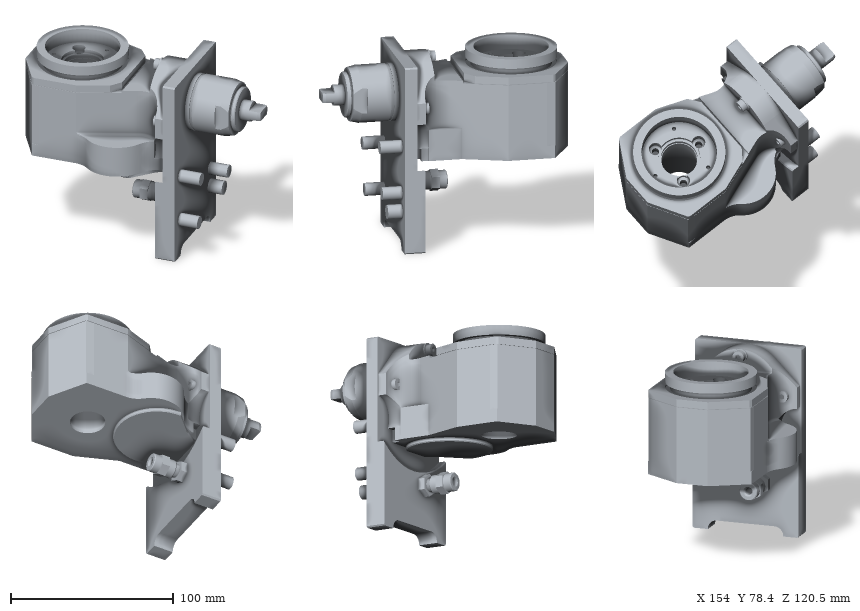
import cadquery as cq
import math


plate_half_width = 35.0
plate_top = 25.0
plate_bottom = -95.0
plate_front = -8.0
thick_plate_front = -13.1
plate_corner = 0.9
seat_radius = 55.0
seat_chamfer = 0.7
notch_half_width = 24.8
notch_depth = 6.0
notch_fillet = 5.8

overall_length = 154.0
head_left = -108.6
head_half_width = 34.0
nose_half_width = 10.3
nose_corner_x = -95.1
taper_start_x = -65.7
head_bottom = -39.1
head_top = 9.6
neck_start_x = -39.1
neck_top = 11.3
neck_step_fillet = 1.0

waist_radius = 12.3
waist_center_x = -25.8
flange_side_x = waist_center_x + waist_radius
waist_center_y = 32.3
flange_front = -21.9
flange_radius = 25.0
flange_side_bottom = -12.2
scoop_radius = 12.8
scoop_center_y = 34.5
scoop_center_z = flange_side_bottom - scoop_radius
foot_top = -31.0
scoop_front = -17.7

facet_depth = 0.5
facet_bottom = foot_top
facet_right = -90.0

bulge_top = -19.2
bulge_radius = 20.5
bulge_center_x = -42.9
bulge_min_y = -43.36
bulge_start_x = -66.8
bulge_blend_x = -24.7
bulge_end = (thick_plate_front, -23.4)
bulge_fillet = 1.7
base_half_width = 23.9
foot_half_width = 23.2
foot_tail_half_width = 18.0

disc_center = (-31.6, -10.5)
disc_radius = 27.0
disc_bottom = -41.5
disc_chamfer = 0.6
disc_trim_start = (-30.0, -37.0)
disc_trim_corner = (-17.0, -23.2)
disc_trim_end = (-8.7, -17.5)

hole_count = 3
cover_top = 14.7
cover_right = -40.9
cover_end_half_width = 19.5
cover_corner_x = -46.1
cover_edge_chamfer = 1.0
seam_size = 0.4
spindle_x = -74.8
ring_radius = 28.5
ring_bottom = 18.3
ring_top = 24.4
ring_neck_radius = 25.2
ring_groove_radius = 28.3
ring_groove_depth = 1.0
recess_radius = 23.3
recess_floor = 15.4
bore_steps = [(13.0, 2.2), (11.4, 5.0)]
bore_radius = 10.95
screw_circle_radius = 15.6
screw_hole_radius = 2.3
screw_hole_depth = 10.0
screw_sink_radius = 4.1
screw_sink_depth = 4.5
pin_circle_radius = 19.1
pin_hole_radius = 1.3
pin_hole_depth = 3.0

shank_radius = 18.0
groove_start = 2.8
groove_end = 4.6
groove_depth = 0.5
cone_start = 23.0
shank_end = 28.25
cone_end_radius = 16.75
collar_start = 28.8
collar_end = 31.5
collar_radius = 14.2
collar_chamfer = 0.5
collar_neck_radius = 13.3
stub_radius = 6.5
tang_start = 38.0
tang_end = head_left + overall_length
tang_half_thickness = 3.0
tang_chamfer_length = 1.9
tang_chamfer_height = 0.6
flat_start = 19.7
flat_half_width = 16.1

pin_side_y = 25.0
pin_radius = 4.05
upper_pin_length = 13.9
lower_pin_length = 12.5
thick_pin_radius = 4.45
thick_pin_length = 9.3
rear_pins = [
    (pin_side_y, -28.0, pin_radius, upper_pin_length),
    (-pin_side_y, -39.8, pin_radius, upper_pin_length),
    (pin_side_y, -57.8, pin_radius, lower_pin_length),
    (-pin_side_y, -69.8, pin_radius, lower_pin_length),
    (pin_side_y, -69.8, thick_pin_radius, thick_pin_length),
]

top_screw_z = 21.0
top_screw_front = -26.5
washer_radius = 4.5
washer_thickness = 1.0
screw_head_radius = 3.65
side_screw_y = 25.2
side_screw_z = -4.5
side_screw_front = -16.9
socket_size = 3.5
socket_depth = 1.8

fitting_y = -10.1
fitting_z = -61.8
fitting_front = -35.9
nut_front = -30.7
nut_back = -25.5
sleeve_back = -20.4
base_nut_front = -17.4
sleeve_radius = 5.8
sleeve_chamfer = 0.5
fitting_neck_radius = 4.2
nut_corner_diameter = 14.1
fitting_bore_radius = 2.2
fitting_mouth_radius = 3.1
fitting_bore_depth = 10.0
fitting_mouth_chamfer = fitting_mouth_radius - fitting_bore_radius


def box(x0, x1, y0, y1, z0, z1):
    return cq.Workplane("XY").box(x1 - x0, y1 - y0, z1 - z0, centered=False).translate((x0, y0, z0))


def x_cylinder(x0, x1, y, z, radius):
    return cq.Workplane("YZ", origin=(x0, y, z)).circle(radius).extrude(x1 - x0)


def z_cylinder(z0, z1, x, y, radius):
    return cq.Workplane("XY", origin=(x, y, z0)).circle(radius).extrude(z1 - z0)


def hex_prism(x0, x1, y, z, corner_diameter):
    """Hexagonal prism along X with a corner pointing up."""
    turn = cq.Workplane("YZ", origin=(x0, y, z)).transformed(rotate=(0, 0, 90))
    return turn.polygon(6, corner_diameter).extrude(x1 - x0)


def waist_tangent():
    """Point where the tapering side runs into the waist round, on the +Y side."""
    dx = waist_center_x - taper_start_x
    dy = waist_center_y - head_half_width
    distance = math.hypot(dx, dy)
    heading = math.atan2(dy, dx) - math.asin(waist_radius / distance)
    length = math.sqrt(distance**2 - waist_radius**2)
    x = taper_start_x + length * math.cos(heading)
    y = head_half_width + length * math.sin(heading)
    return x, y


def taper_y(x):
    """Half width of the housing along its tapering side."""
    tangent_x, tangent_y = waist_tangent()
    slope = (tangent_y - head_half_width) / (tangent_x - taper_start_x)
    return head_half_width + slope * (x - taper_start_x)


def make_plate():
    """Plate with a thicker lower part, relieved by a round seat about the shank axis."""
    plate = box(thick_plate_front, 0, -plate_half_width, plate_half_width, plate_bottom, plate_top)
    plate = plate.edges("|X").chamfer(plate_corner)
    seat = x_cylinder(thick_plate_front, plate_front, 0, 0, seat_radius - seat_chamfer)
    flare = cq.Workplane(
        cq.Solid.makeCone(
            seat_radius, seat_radius - seat_chamfer, seat_chamfer,
            pnt=cq.Vector(thick_plate_front, 0, 0), dir=cq.Vector(1, 0, 0),
        )
    )
    above_axis = box(thick_plate_front, plate_front, -plate_half_width, plate_half_width, 0, plate_top)
    notch = box(
        thick_plate_front, 0, -notch_half_width, notch_half_width,
        plate_bottom - notch_depth, plate_bottom + notch_depth,
    )
    notch = notch.edges("|X and >Z").fillet(notch_fillet)
    return plate.cut(seat).cut(flare).cut(above_axis).cut(notch)


def neck_outline():
    """Plan outline of head, neck and flange, symmetric about the X axis."""
    tangent_x, tangent_y = waist_tangent()
    waist_y = waist_center_y - waist_radius
    return (
        cq.Workplane("XY", origin=(0, 0, head_bottom))
        .moveTo(head_left, -nose_half_width)
        .lineTo(head_left, nose_half_width)
        .lineTo(nose_corner_x, head_half_width)
        .lineTo(taper_start_x, head_half_width)
        .lineTo(tangent_x, tangent_y)
        .threePointArc((waist_center_x, waist_y), (flange_side_x, waist_center_y))
        .lineTo(flange_side_x, head_half_width)
        .lineTo(plate_front, head_half_width)
        .lineTo(plate_front, -head_half_width)
        .lineTo(flange_side_x, -head_half_width)
        .lineTo(flange_side_x, -waist_center_y)
        .threePointArc((waist_center_x, -waist_y), (tangent_x, -tangent_y))
        .lineTo(taper_start_x, -head_half_width)
        .lineTo(nose_corner_x, -head_half_width)
        .close()
    )


def make_envelope():
    """Heights of head, neck and flange: the round flange top falls away at 45 degrees."""
    width = head_half_width
    head = box(head_left, neck_start_x, -width, width, head_bottom, head_top)
    neck = box(neck_start_x, flange_front, -width, width, head_bottom, neck_top)
    shoulder = flange_radius * math.cos(math.pi / 4)
    side_top = 2 * shoulder - width
    flange = (
        cq.Workplane("YZ", origin=(flange_front, 0, 0))
        .moveTo(-width, head_bottom)
        .lineTo(-width, side_top)
        .lineTo(-shoulder, shoulder)
        .threePointArc((0, flange_radius), (shoulder, shoulder))
        .lineTo(width, side_top)
        .lineTo(width, head_bottom)
        .close()
        .extrude(plate_front - flange_front)
    )
    return head.union(neck).union(flange)


def make_scoop(side):
    """Round clearance under one side of the flange, open down to the foot."""
    scoop = x_cylinder(scoop_front, plate_front, side * scoop_center_y, scoop_center_z, scoop_radius)
    outer_y = scoop_center_y + scoop_radius
    return scoop.intersect(
        box(scoop_front, plate_front, -outer_y, outer_y, foot_top, flange_side_bottom)
    )


def make_foot_cut(side):
    """Space beside the foot, which narrows where it passes over the plate edge."""
    cut = None
    for front, inner_y in ((scoop_front, foot_half_width), (thick_plate_front, foot_tail_half_width)):
        y0, y1 = sorted((side * inner_y, side * head_half_width))
        step = box(front, plate_front, y0, y1, head_bottom, foot_top)
        cut = step if cut is None else cut.union(step)
    return cut


def make_bulge():
    """Rounded bulge on the -Y side, blended into the head side and the neck."""
    center_y = bulge_min_y + bulge_radius
    run = bulge_center_x - bulge_start_x
    drop = center_y + head_half_width
    blend_radius = (run**2 + drop**2 - bulge_radius**2) / (2 * (bulge_radius - drop))
    share = blend_radius / (blend_radius + bulge_radius)
    blend_center_y = -head_half_width - blend_radius
    first_x = bulge_start_x + run * share
    first_y = blend_center_y + (center_y - blend_center_y) * share
    last_y = center_y - math.sqrt(bulge_radius**2 - (bulge_blend_x - bulge_center_x) ** 2)
    outline = (
        cq.Workplane("XY", origin=(0, 0, head_bottom))
        .moveTo(bulge_start_x, 0)
        .lineTo(bulge_start_x, -head_half_width)
        .radiusArc((first_x, first_y), blend_radius)
        .threePointArc((bulge_center_x, bulge_min_y), (bulge_blend_x, last_y))
        .tangentArcPoint(bulge_end, relative=False)
        .lineTo(bulge_end[0], 0)
        .close()
    )
    return outline.extrude(bulge_top - head_bottom)


def make_far_block():
    """Straight block along the lower half of the neck on the +Y side."""
    return box(taper_start_x, scoop_front, 0, base_half_width, head_bottom, bulge_top)


def make_corner_facet(side):
    """Wedge that bevels the side face behind one nose corner."""
    slope = (nose_corner_x - head_left) / (head_half_width - nose_half_width)
    inner_y = head_half_width - facet_depth
    inner_x = nose_corner_x - facet_depth * slope
    wedge = cq.Workplane("XY", origin=(0, 0, facet_bottom)).polyline(
        [
            (facet_right, side * head_half_width),
            (inner_x, side * inner_y),
            (inner_x, side * head_half_width),
        ]
    )
    return wedge.close().extrude(head_top - facet_bottom)


def fillet_wall_foot(housing):
    """Round the inner corner where the tapering neck wall meets the top of the bulge."""
    tangent_x, _ = waist_tangent()
    middle_x = (taper_start_x + tangent_x) / 2
    foot = cq.selectors.NearestToPointSelector((middle_x, -taper_y(middle_x), bulge_top))
    return housing.edges(foot).fillet(bulge_fillet)


def make_disc():
    """Flat disc under the housing, trimmed to stay inside its bottom face."""
    disc = z_cylinder(disc_bottom, head_bottom, disc_center[0], disc_center[1], disc_radius)
    disc = disc.faces("<Z").edges().chamfer(disc_chamfer)
    far_right = disc_center[0] + disc_radius
    far_front = disc_center[1] - disc_radius
    far_back = disc_center[1] + disc_radius
    outside = (
        cq.Workplane("XY", origin=(0, 0, disc_bottom))
        .polyline(
            [
                (disc_trim_start[0], far_front),
                disc_trim_start,
                disc_trim_corner,
                disc_trim_end,
                (disc_trim_end[0], far_back),
                (far_right, far_back),
                (far_right, far_front),
            ]
        )
        .close()
        .extrude(head_bottom - disc_bottom)
    )
    return disc.cut(outside)


def make_housing():
    housing = neck_outline().extrude(flange_radius - head_bottom).intersect(make_envelope())
    for height, x in ((neck_top, flange_front), (head_top, neck_start_x)):
        corner = cq.selectors.NearestToPointSelector((x, 0, height))
        housing = housing.edges(corner).fillet(neck_step_fillet)
    for side in (1, -1):
        housing = housing.cut(make_foot_cut(side)).cut(make_corner_facet(side))
    housing = housing.union(make_bulge()).union(make_far_block())
    housing = fillet_wall_foot(housing)
    for side in (1, -1):
        housing = housing.cut(make_scoop(side))
    return housing.union(make_disc())


def cover_outline():
    corner_y = taper_y(cover_corner_x)
    upper = [
        (head_left, nose_half_width),
        (nose_corner_x, head_half_width),
        (taper_start_x, head_half_width),
        (cover_corner_x, corner_y),
        (cover_right, cover_end_half_width),
    ]
    lower = [(x, -y) for x, y in reversed(upper)]
    return cq.Workplane("XY", origin=(0, 0, head_top)).polyline(upper + lower).close()


def make_cover():
    cover = cover_outline().extrude(cover_top - head_top)
    for y in (head_half_width, -head_half_width):
        edge = cq.selectors.NearestToPointSelector((nose_corner_x, y, (head_top + cover_top) / 2))
        cover = cover.edges("|Z").edges(edge).chamfer(cover_edge_chamfer)
    inside = cover_outline().offset2D(-seam_size).extrude(seam_size)
    seam = cover_outline().extrude(seam_size).cut(inside)
    return cover.cut(seam)


def polar_points(radius, first_angle):
    angles = [math.radians(first_angle + 360 * i / hole_count) for i in range(hole_count)]
    return [(spindle_x + radius * math.cos(a), radius * math.sin(a)) for a in angles]


def add_spindle(body):
    groove_floor = cover_top - ring_groove_depth
    body = body.cut(z_cylinder(groove_floor, cover_top, spindle_x, 0, ring_groove_radius))
    body = body.union(z_cylinder(groove_floor, ring_bottom, spindle_x, 0, ring_neck_radius))
    body = body.union(z_cylinder(ring_bottom, ring_top, spindle_x, 0, ring_radius))
    body = body.cut(z_cylinder(recess_floor, ring_top, spindle_x, 0, recess_radius))
    for radius, depth in bore_steps:
        body = body.cut(z_cylinder(recess_floor - depth, ring_top, spindle_x, 0, radius))
    body = body.cut(z_cylinder(disc_bottom, ring_top, spindle_x, 0, bore_radius))
    for x, y in polar_points(screw_circle_radius, 0):
        body = body.cut(z_cylinder(recess_floor - screw_sink_depth, recess_floor, x, y, screw_sink_radius))
        body = body.cut(z_cylinder(recess_floor - screw_hole_depth, recess_floor, x, y, screw_hole_radius))
    for x, y in polar_points(pin_circle_radius, 180 / hole_count):
        body = body.cut(z_cylinder(recess_floor - pin_hole_depth, recess_floor, x, y, pin_hole_radius))
    return body


def make_shank():
    """Turned shank with clamping flats, a collar and a driving tang."""
    groove_radius = shank_radius - groove_depth
    profile = [
        (plate_front, 0),
        (plate_front, shank_radius),
        (groove_start, shank_radius),
        (groove_start, groove_radius),
        (groove_end, groove_radius),
        (groove_end, shank_radius),
        (cone_start, shank_radius),
        (shank_end, cone_end_radius),
        (shank_end, collar_neck_radius),
        (collar_start, collar_neck_radius),
        (collar_start, collar_radius - collar_chamfer),
        (collar_start + collar_chamfer, collar_radius),
        (collar_end - collar_chamfer, collar_radius),
        (collar_end, collar_radius - collar_chamfer),
        (collar_end, stub_radius),
        (tang_end - tang_chamfer_length, stub_radius),
        (tang_end, stub_radius - tang_chamfer_height),
        (tang_end, 0),
    ]
    shank = cq.Workplane("XZ").polyline(profile).close().revolve(360, (0, 0, 0), (1, 0, 0))
    for side in (1, -1):
        y0, y1 = sorted((side * flat_half_width, side * shank_radius))
        shank = shank.cut(box(flat_start, shank_end, y0, y1, -shank_radius, shank_radius))
        z0, z1 = sorted((side * tang_half_thickness, side * stub_radius))
        shank = shank.cut(box(tang_start, tang_end, -stub_radius, stub_radius, z0, z1))
    return shank


def make_screw(front, back, y, z):
    head = x_cylinder(front, back, y, z, screw_head_radius)
    return head.cut(hex_prism(front, front + socket_depth, y, z, socket_size))


def add_screws(body):
    body = body.union(make_screw(top_screw_front, flange_front, 0, top_screw_z))
    washer_front = flange_front - washer_thickness
    body = body.union(x_cylinder(washer_front, flange_front, 0, top_screw_z, washer_radius))
    for y in (side_screw_y, -side_screw_y):
        body = body.union(make_screw(side_screw_front, plate_front, y, side_screw_z))
    return body


def make_fitting():
    fitting = x_cylinder(fitting_front, sleeve_back, fitting_y, fitting_z, sleeve_radius)
    fitting = fitting.edges().chamfer(sleeve_chamfer)
    neck = x_cylinder(sleeve_back, base_nut_front, fitting_y, fitting_z, fitting_neck_radius)
    fitting = fitting.union(neck)
    for front, back in ((nut_front, nut_back), (base_nut_front, thick_plate_front)):
        fitting = fitting.union(hex_prism(front, back, fitting_y, fitting_z, nut_corner_diameter))
    bore_end = fitting_front + fitting_bore_depth
    bore = x_cylinder(fitting_front, bore_end, fitting_y, fitting_z, fitting_bore_radius)
    mouth = cq.Solid.makeCone(
        fitting_mouth_radius, fitting_bore_radius, fitting_mouth_chamfer,
        pnt=cq.Vector(fitting_front, fitting_y, fitting_z), dir=cq.Vector(1, 0, 0),
    )
    return fitting.cut(bore).cut(cq.Workplane(mouth))


body = make_plate().union(make_housing()).union(make_cover())
body = add_spindle(body)
body = body.union(make_shank())
for pin_y, pin_z, radius, length in rear_pins:
    body = body.union(x_cylinder(plate_front, length, pin_y, pin_z, radius))
body = add_screws(body)
result = body.union(make_fitting())